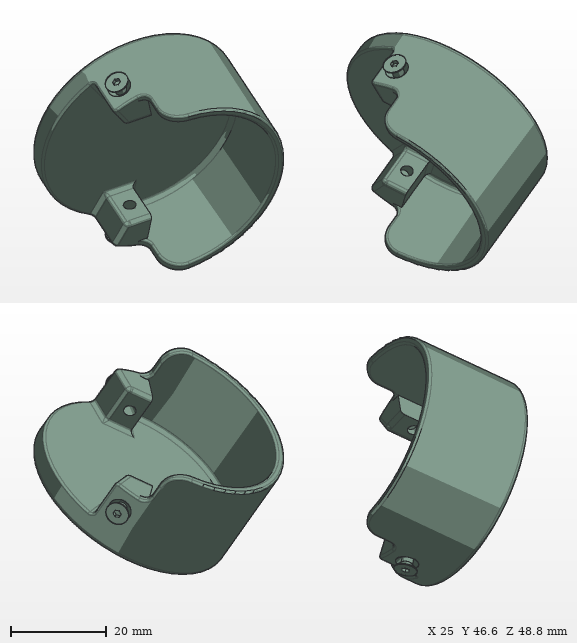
import cadquery as cq
import math

UPPER_AND_LOWER = (1, -1)

OUTER_RADIUS = 46.6 / 2
WALL = 1.8
INNER_RADIUS = OUTER_RADIUS - WALL
LENGTH = 25.0
BASE_THICKNESS = 5.0
BASE_EDGE_RADIUS = 1.0
FLOOR_FILLET = 1.0
RIM_ROUND = 0.5

SCREW_TILT = 19.8
TAB_HALF_ANGLE = 9.9
TAB_TILT = SCREW_TILT + TAB_HALF_ANGLE
STEP_TILT = SCREW_TILT - TAB_HALF_ANGLE
TAB_END_X = 15.0
TAB_CORNER_RADIUS = 1.0
STEP_INNER_RADIUS = 2.0
STEP_OUTER_RADIUS = 5.0

NOTCH_REACH = 2 * LENGTH
NOTCH_MIDDLE = 11.7

PAD_INNER_Z = 15.05
PAD_ROUND = 1.0

SCREW_X = (BASE_THICKNESS + TAB_END_X) / 2
HEAD_DIAMETER = 5.0
SHANK_DIAMETER = 2.5
HEAD_RIM = 0.25
HEAD_CONE = (HEAD_DIAMETER - SHANK_DIAMETER) / 2
HEAD_HEIGHT = HEAD_RIM + HEAD_CONE
SHANK_LENGTH = 5.0
HEX_SIDES = 6
HEX_FLATS = 1.5
HEX_DEPTH = 0.9
HEX_TURN = 30.0

SCREW_TOP_Z = 24.4
TILT_RADIANS = math.radians(SCREW_TILT)
HEAD_TOP_DISTANCE = (SCREW_TOP_Z - HEAD_DIAMETER / 2 * math.sin(TILT_RADIANS)) / math.cos(TILT_RADIANS)
SEAT_TOP_DISTANCE = math.sqrt(OUTER_RADIUS**2 - (HEAD_DIAMETER / 2) ** 2)


def x_cylinder(radius, start, end):
    return cq.Workplane("YZ").workplane(offset=start).circle(radius).extrude(end - start)


def on_radial_plane(tilt, z):
    """(Y, Z) of the point at height z on the plane tilted from Z toward -Y."""
    return (-z * math.tan(math.radians(tilt)), z)


def mirrored(shape, side):
    return shape if side > 0 else shape.mirror("XY")


def make_cup(pads):
    """Cup with a stepped wall, thickened by pads and still sharp along its rim."""
    outer = x_cylinder(OUTER_RADIUS, 0, LENGTH).faces("<X").edges().fillet(BASE_EDGE_RADIUS)
    cavity = x_cylinder(INNER_RADIUS, BASE_THICKNESS, LENGTH)
    for pad in pads:
        cavity = cavity.cut(pad)
    cavity = cavity.faces("<X").edges().fillet(FLOOR_FILLET)
    return outer.cut(cavity).cut(make_notch())


def make_pad(side):
    """Block behind a tab, flat on the inside; the notch later cuts its -Y end."""
    pad = cq.Workplane("YZ").polyline([
        on_radial_plane(STEP_TILT, PAD_INNER_Z),
        (-OUTER_RADIUS, PAD_INNER_Z),
        (-OUTER_RADIUS, OUTER_RADIUS),
        on_radial_plane(STEP_TILT, OUTER_RADIUS),
    ]).close().extrude(TAB_END_X)
    return mirrored(pad, side)


def notch_layer(start_x, tilt):
    """Everything beyond start_x, above NOTCH_MIDDLE and in front of a radial plane."""
    return cq.Workplane("YZ").workplane(offset=start_x).polyline([
        on_radial_plane(tilt, NOTCH_MIDDLE),
        on_radial_plane(tilt, LENGTH),
        (-NOTCH_REACH, LENGTH),
        (-NOTCH_REACH, NOTCH_MIDDLE),
    ]).close().extrude(NOTCH_REACH - start_x)


def make_notch():
    """Material cut away in front of the stepped edge."""
    upper = notch_layer(BASE_THICKNESS, TAB_TILT)
    upper = upper.union(notch_layer(TAB_END_X, STEP_TILT))
    upper = upper.union(notch_layer(LENGTH, -TAB_TILT))
    for x, tilt, radius in (
        (BASE_THICKNESS, TAB_TILT, TAB_CORNER_RADIUS),
        (TAB_END_X, TAB_TILT, TAB_CORNER_RADIUS),
        (TAB_END_X, STEP_TILT, STEP_INNER_RADIUS),
        (LENGTH, STEP_TILT, STEP_OUTER_RADIUS),
    ):
        corner = (x, *on_radial_plane(tilt, (NOTCH_MIDDLE + LENGTH) / 2))
        upper = upper.edges(cq.selectors.NearestToPointSelector(corner)).fillet(radius)
    front_y = on_radial_plane(TAB_TILT, NOTCH_MIDDLE)[0]
    middle = cq.Workplane("XY").box(
        NOTCH_REACH, NOTCH_REACH, 2 * NOTCH_MIDDLE, centered=(False, False, True)
    ).translate((BASE_THICKNESS, front_y - NOTCH_REACH, 0))
    return upper.union(middle).union(upper.mirror("XY"))


def end_edge(body, radius):
    """The edge of the given radius around the open end of the cup."""
    return body.faces(">X").edges("%CIRCLE").filter(
        lambda edge: math.isclose(edge.radius(), radius, rel_tol=1e-4)
    )


def make_inner_rim_waste():
    """Material that rounding the inner rim takes away, beyond the ends of the tabs."""
    plain = make_cup([])
    waste = plain.cut(end_edge(plain, INNER_RADIUS).fillet(RIM_ROUND))
    return waste.cut(x_cylinder(OUTER_RADIUS, 0, TAB_END_X))


def round_pad_edges(body):
    """Round the inner edges of the tabs along the stepped edge."""
    for z in (PAD_INNER_Z, -PAD_INNER_Z):
        middle = (SCREW_X, on_radial_plane(TAB_TILT, PAD_INNER_Z)[0], z)
        body = body.edges(cq.selectors.NearestToPointSelector(middle)).fillet(PAD_ROUND)
    return body


def make_housing():
    pads = [make_pad(side) for side in UPPER_AND_LOWER]
    body = make_cup(pads).cut(make_inner_rim_waste())
    body = end_edge(body, OUTER_RADIUS).fillet(RIM_ROUND)
    body = round_pad_edges(body)
    for side in UPPER_AND_LOWER:
        body = body.cut(make_screw_opening(side))
    return body.solids()


def place_screw_axis(shape, side):
    """Move a shape built up the Z axis onto the tilted axis of one screw."""
    tilted = shape.rotate((0, 0, 0), (1, 0, 0), SCREW_TILT).translate((SCREW_X, 0, 0))
    return mirrored(tilted, side)


def revolve_about_z(points):
    return cq.Workplane("XZ").polyline(points).close().revolve(360, (0, 0, 0), (0, 1, 0))


def make_screw_opening(side):
    """Through hole with a countersink that matches the cone of the screw head."""
    head, shank = HEAD_DIAMETER / 2, SHANK_DIAMETER / 2
    opening = revolve_about_z([
        (0, 0),
        (shank, 0),
        (shank, SEAT_TOP_DISTANCE - HEAD_CONE),
        (head, SEAT_TOP_DISTANCE),
        (head, HEAD_TOP_DISTANCE),
        (0, HEAD_TOP_DISTANCE),
    ])
    return place_screw_axis(opening, side)


def make_screw(side):
    """Countersunk screw with a hexagon socket."""
    head, shank = HEAD_DIAMETER / 2, SHANK_DIAMETER / 2
    head_bottom = HEAD_TOP_DISTANCE - HEAD_HEIGHT
    body = revolve_about_z([
        (0, head_bottom - SHANK_LENGTH),
        (shank, head_bottom - SHANK_LENGTH),
        (shank, head_bottom),
        (head, HEAD_TOP_DISTANCE - HEAD_RIM),
        (head, HEAD_TOP_DISTANCE),
        (0, HEAD_TOP_DISTANCE),
    ])
    socket = (
        cq.Workplane("XY").workplane(offset=HEAD_TOP_DISTANCE)
        .polygon(HEX_SIDES, HEX_FLATS, circumscribed=True).extrude(-HEX_DEPTH)
        .rotate((0, 0, 0), (0, 0, 1), HEX_TURN)
    )
    return place_screw_axis(body.cut(socket), side).solids()


housing = make_housing()
screws = [make_screw(side) for side in UPPER_AND_LOWER]

result = cq.Compound.makeCompound([housing.val(), *[screw.val() for screw in screws]])